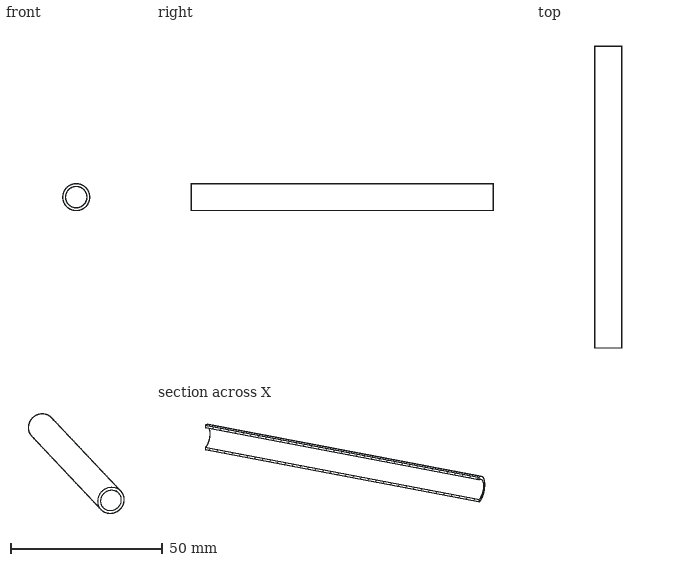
import cadquery as cq

length = 100.0
outer_diameter = 9.0
wall = 1.0
inner_diameter = outer_diameter - 2 * wall

result = (
    cq.Workplane("XZ", origin=(0, length / 2, 0))
    .circle(outer_diameter / 2)
    .circle(inner_diameter / 2)
    .extrude(length)
)